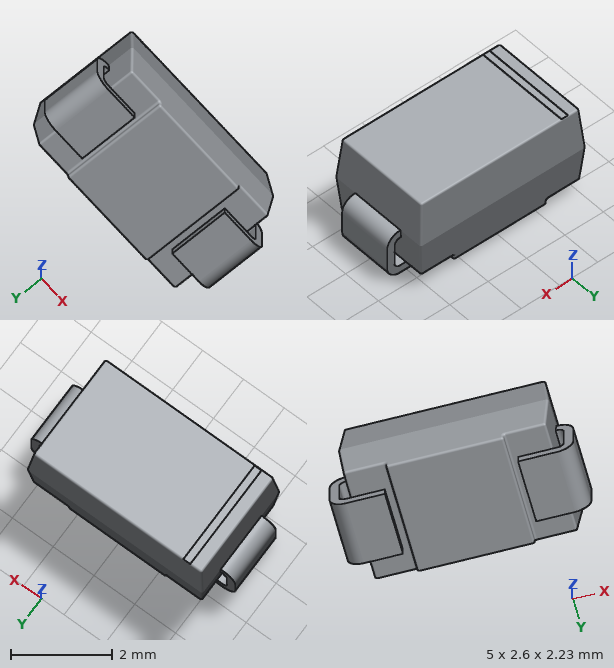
import cadquery as cq
import math

body_length = 4.3
body_width = 2.6
body_top = 2.23
parting_z = 1.175
body_bottom = 0.12
draft_angle = 5
edge_radius = 0.05

tolerance = 1e-4

shelf_z = 0.27
pad_half_length = 1.205

mark_left = -1.775
mark_width = 0.17
mark_depth = 0.01

lead_span = 5.0
lead_width = 1.37
lead_thickness = 0.2
bend_outer_radius = 0.335
bend_inner_radius = bend_outer_radius - lead_thickness
foot_tip_x = 1.365
lead_embed = 0.15
lead_anchor_x = body_length / 2 - lead_embed


def draft_half(height, direction):
    """Half of the body, drawn inward from the parting plane; direction is +1 up, -1 down."""
    plane = cq.Plane(origin=(0, 0, parting_z), xDir=(1, 0, 0), normal=(0, 0, direction))
    return (
        cq.Workplane(plane)
        .rect(body_length, body_width)
        .extrude(height, taper=draft_angle)
    )


def end_clearance(side):
    """Block that raises the underside beyond the central pad at one end."""
    length = body_length / 2
    height = shelf_z - body_bottom
    center = (side * (pad_half_length + length / 2), 0, body_bottom + height / 2)
    return cq.Workplane("XY").box(length, body_width, height).translate(center)


def is_outside_edge(edge):
    """True for edges to round: all but the parting line and the seams of the inside corners."""
    center = edge.Center()
    on_parting_plane = abs(center.z - parting_z) < tolerance
    spans_width = edge.BoundingBox().ylen > body_width / 2
    near_pad_wall = abs(abs(center.x) - pad_half_length) < 2 * edge_radius
    above_pad_face = center.z > body_bottom + tolerance
    is_corner_seam = spans_width and near_pad_wall and above_pad_face
    return not on_parting_plane and not is_corner_seam


def make_body():
    """Drafted body with its stepped underside and rounded edges."""
    body = draft_half(body_top - parting_z, 1).union(draft_half(parting_z - body_bottom, -1))
    for side in (-1, 1):
        body = body.cut(end_clearance(side))
    for side in (-1, 1):
        corner = cq.selectors.NearestToPointSelector((side * pad_half_length, 0, shelf_z))
        body = body.edges(corner).fillet(edge_radius)
    outside_edges = [edge for edge in body.edges().vals() if is_outside_edge(edge)]
    return body.newObject(outside_edges).fillet(edge_radius)


def polarity_mark():
    """Cutter for the shallow groove; its lower half sinks into the top face."""
    center = (mark_left + mark_width / 2, 0, body_top)
    return cq.Workplane("XY").box(mark_width, body_width, 2 * mark_depth).translate(center)


def lead():
    """Lead at the -X end: leaves the body at the parting plane and folds under it."""
    outer_x = -lead_span / 2
    inner_x = outer_x + lead_thickness
    bend_x = outer_x + bend_outer_radius
    upper_bend_z = parting_z - bend_outer_radius
    lower_bend_z = bend_outer_radius
    diagonal = math.sqrt(0.5)
    outer_mid = bend_outer_radius * diagonal
    inner_mid = bend_inner_radius * diagonal
    return (
        cq.Workplane("XZ")
        .moveTo(-lead_anchor_x, parting_z)
        .lineTo(bend_x, parting_z)
        .threePointArc((bend_x - outer_mid, upper_bend_z + outer_mid), (outer_x, upper_bend_z))
        .lineTo(outer_x, lower_bend_z)
        .threePointArc((bend_x - outer_mid, lower_bend_z - outer_mid), (bend_x, 0))
        .lineTo(-foot_tip_x, 0)
        .lineTo(-foot_tip_x, lead_thickness)
        .lineTo(bend_x, lead_thickness)
        .threePointArc((bend_x - inner_mid, lower_bend_z - inner_mid), (inner_x, lower_bend_z))
        .lineTo(inner_x, upper_bend_z)
        .threePointArc(
            (bend_x - inner_mid, upper_bend_z + inner_mid), (bend_x, parting_z - lead_thickness)
        )
        .lineTo(-lead_anchor_x, parting_z - lead_thickness)
        .close()
        .extrude(lead_width / 2, both=True)
    )


left_lead = lead()
right_lead = left_lead.mirror("YZ")
result = make_body().cut(polarity_mark()).union(left_lead).union(right_lead)